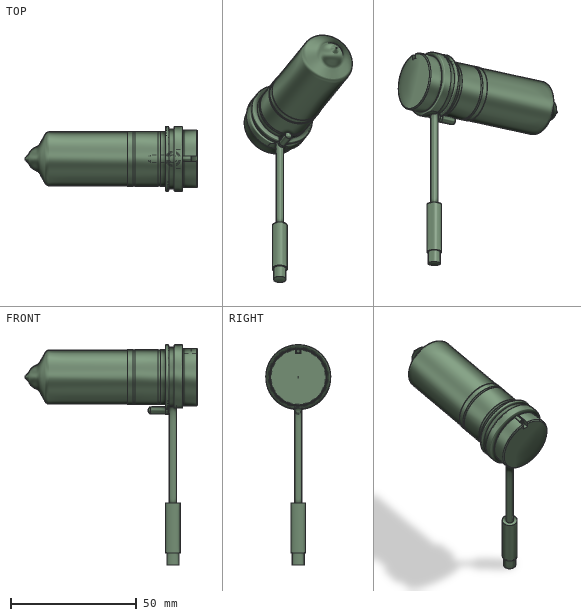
import cadquery as cq
import math


TIP_RADIUS = 0.3
TIP_CONE_END = 1.5
DOME_CENTER = 6.2
DOME_RADIUS = 5.0
DOME_END = 4.4
NOSE_CONE_START = 6.1
NOSE_CONE_START_RADIUS = 6.2
NOSE_CONE_END = 8.1
NOSE_CONE_END_RADIUS = 9.8
SHOULDER_END = 9.7

BARREL_RADIUS = 10.8
SLEEVE_START = 40.9
SLEEVE_RADIUS = 11.0
BAND_DEPTH = 0.1
FRONT_BAND_START = 43.1
FRONT_BAND_WIDTH = 0.8
REAR_BAND_START = 53.1
REAR_BAND_WIDTH = 1.1

FLANGE_DIAMETER = 26.0
FLANGE_RADIUS = FLANGE_DIAMETER / 2
FLANGE_FILLET = 0.5
FRONT_FLANGE_START = 56.1
FRONT_FLANGE_END = 57.5
CABLE_GROOVE_RADIUS = 12.0
REAR_FLANGE_START = 59.6
REAR_FLANGE_END = 63.0
REAR_FLANGE_FLAT_Z = -12.4
SPIGOT_RADIUS = 11.5
SPIGOT_CHAMFER = 0.4
RELIEF_DEPTH = 0.2
RELIEF_WIDTH = 0.4
HOUSING_LENGTH = 69.0

LOCATING_PIN_RADIUS = 1.5
NOTCH_WIDTH = 3.1
LOCATING_PIN_HEAD_RADIUS = NOTCH_WIDTH / 2
LOCATING_PIN_Z = -13.3
LOCATING_PIN_START = 49.2
LOCATING_PIN_TIP_LENGTH = 0.9
LOCATING_PIN_TIP_RADIUS = 1.4
LOCATING_PIN_TAPER_LENGTH = 0.8
LOCATING_PIN_END = 57.6
LOCATING_PIN_END_CHAMFER = 0.4
NOTCH_TOP = -11.35

KEY_PIN_RADIUS = 1.1
KEY_PIN_LENGTH = 3.6
KEY_PIN_CHAMFER = 0.3
KEY_SLOT_DEPTH = 2.2
KEY_SLOT_FLOOR = SPIGOT_RADIUS - KEY_SLOT_DEPTH

CABLE_RADIUS = 1.5
CABLE_X = 59.1
CONNECTOR_TOP = -50.2
CONNECTOR_RADIUS = 3.0
PLUG_RADIUS = 2.5
PLUG_TOP = -70.1
OVERALL_HEIGHT = 88.0
PLUG_BOTTOM = FLANGE_RADIUS - OVERALL_HEIGHT


def dome_radius_at(x):
    return math.sqrt(DOME_RADIUS**2 - (x - DOME_CENTER) ** 2)


def revolve_about_x(profile):
    """Revolve a half profile, drawn as (x, radius), about the X axis."""
    return profile.close().revolve(360, (0, 0, 0), (1, 0, 0))


def ring_cut(start, width, outer_radius, depth):
    """Ring that cuts a shallow groove into a cylinder about the X axis."""
    ring = cq.Workplane("YZ", origin=(start, 0, 0))
    return ring.circle(outer_radius).circle(outer_radius - depth).extrude(width)


def block(x_start, x_end, width, bottom, top):
    """Box between two X and two Z positions, centred on Y = 0."""
    base = cq.Workplane("XY", origin=(x_start, 0, bottom))
    return base.box(x_end - x_start, width, top - bottom, centered=(False, True, False))


def vertical_cylinder(radius, bottom, top):
    """Cylinder on the vertical axis of the cable."""
    return cq.Workplane("XY", origin=(CABLE_X, 0, bottom)).circle(radius).extrude(top - bottom)


def make_flange(start, end):
    disc = cq.Workplane("YZ", origin=(start, 0, 0)).circle(FLANGE_RADIUS).extrude(end - start)
    return disc.edges().fillet(FLANGE_FILLET)


def make_housing():
    dome_middle = (TIP_CONE_END + DOME_END) / 2
    body = revolve_about_x(
        cq.Workplane("XY")
        .lineTo(0, TIP_RADIUS)
        .lineTo(TIP_CONE_END, dome_radius_at(TIP_CONE_END))
        .threePointArc((dome_middle, dome_radius_at(dome_middle)), (DOME_END, dome_radius_at(DOME_END)))
        .tangentArcPoint((NOSE_CONE_START, NOSE_CONE_START_RADIUS), relative=False)
        .lineTo(NOSE_CONE_END, NOSE_CONE_END_RADIUS)
        .tangentArcPoint((SHOULDER_END, BARREL_RADIUS), relative=False)
        .lineTo(SLEEVE_START, BARREL_RADIUS)
        .lineTo(SLEEVE_START, SLEEVE_RADIUS)
        .lineTo(FRONT_FLANGE_START, SLEEVE_RADIUS)
        .lineTo(FRONT_FLANGE_START, CABLE_GROOVE_RADIUS)
        .lineTo(REAR_FLANGE_END, CABLE_GROOVE_RADIUS)
        .lineTo(REAR_FLANGE_END, SPIGOT_RADIUS - RELIEF_DEPTH)
        .lineTo(REAR_FLANGE_END + RELIEF_WIDTH, SPIGOT_RADIUS)
        .lineTo(HOUSING_LENGTH - SPIGOT_CHAMFER, SPIGOT_RADIUS)
        .lineTo(HOUSING_LENGTH, SPIGOT_RADIUS - SPIGOT_CHAMFER)
        .lineTo(HOUSING_LENGTH, 0)
    )
    body = body.union(make_flange(FRONT_FLANGE_START, FRONT_FLANGE_END))
    rear_flange = make_flange(REAR_FLANGE_START, REAR_FLANGE_END)
    below_flat = block(
        REAR_FLANGE_START,
        REAR_FLANGE_END,
        2 * FLANGE_RADIUS,
        -FLANGE_RADIUS,
        REAR_FLANGE_FLAT_Z,
    )
    body = body.union(rear_flange.cut(below_flat))

    body = body.cut(ring_cut(FRONT_BAND_START, FRONT_BAND_WIDTH, SLEEVE_RADIUS, BAND_DEPTH))
    body = body.cut(ring_cut(REAR_BAND_START, REAR_BAND_WIDTH, SLEEVE_RADIUS, BAND_DEPTH))

    notch = block(FRONT_FLANGE_START, CABLE_X, NOTCH_WIDTH, -FLANGE_RADIUS, NOTCH_TOP)
    cable_seat = vertical_cylinder(CABLE_RADIUS, -FLANGE_RADIUS, NOTCH_TOP)

    key_slot = block(REAR_FLANGE_END, HOUSING_LENGTH, 2 * KEY_PIN_RADIUS, KEY_SLOT_FLOOR, SPIGOT_RADIUS)
    return body.cut(notch).cut(cable_seat).cut(key_slot)


def make_locating_pin():
    tip_end = LOCATING_PIN_START + LOCATING_PIN_TIP_LENGTH
    taper_end = tip_end + LOCATING_PIN_TAPER_LENGTH
    dome_radius = (LOCATING_PIN_TIP_RADIUS**2 + LOCATING_PIN_TIP_LENGTH**2) / (2 * LOCATING_PIN_TIP_LENGTH)
    dome_middle_x = LOCATING_PIN_TIP_LENGTH / 2
    dome_middle_radius = math.sqrt(dome_radius**2 - (dome_radius - dome_middle_x) ** 2)
    pin = revolve_about_x(
        cq.Workplane("XY")
        .moveTo(LOCATING_PIN_START, 0)
        .threePointArc(
            (LOCATING_PIN_START + dome_middle_x, dome_middle_radius),
            (tip_end, LOCATING_PIN_TIP_RADIUS),
        )
        .lineTo(taper_end, LOCATING_PIN_RADIUS)
        .lineTo(FRONT_FLANGE_START, LOCATING_PIN_RADIUS)
        .lineTo(FRONT_FLANGE_START, LOCATING_PIN_HEAD_RADIUS)
        .lineTo(LOCATING_PIN_END - LOCATING_PIN_END_CHAMFER, LOCATING_PIN_HEAD_RADIUS)
        .lineTo(LOCATING_PIN_END, LOCATING_PIN_HEAD_RADIUS - LOCATING_PIN_END_CHAMFER)
        .lineTo(LOCATING_PIN_END, 0)
    )
    return pin.translate((0, 0, LOCATING_PIN_Z))


def make_key_pin():
    center_z = KEY_SLOT_FLOOR + KEY_PIN_RADIUS
    pin = cq.Workplane("YZ", origin=(REAR_FLANGE_END, 0, center_z)).circle(KEY_PIN_RADIUS)
    pin = pin.extrude(KEY_PIN_LENGTH)
    return pin.faces(">X").chamfer(KEY_PIN_CHAMFER)


def make_cable():
    return vertical_cylinder(CABLE_RADIUS, CONNECTOR_TOP, NOTCH_TOP)


def make_connector():
    sleeve = vertical_cylinder(CONNECTOR_RADIUS, PLUG_TOP, CONNECTOR_TOP)
    plug = vertical_cylinder(PLUG_RADIUS, PLUG_BOTTOM, PLUG_TOP)
    return sleeve.union(plug)


housing = make_housing()
locating_pin = make_locating_pin()
key_pin = make_key_pin()
cable = make_cable()
connector = make_connector()

result = cq.Compound.makeCompound(
    [housing.val(), locating_pin.val(), key_pin.val(), cable.val(), connector.val()]
)